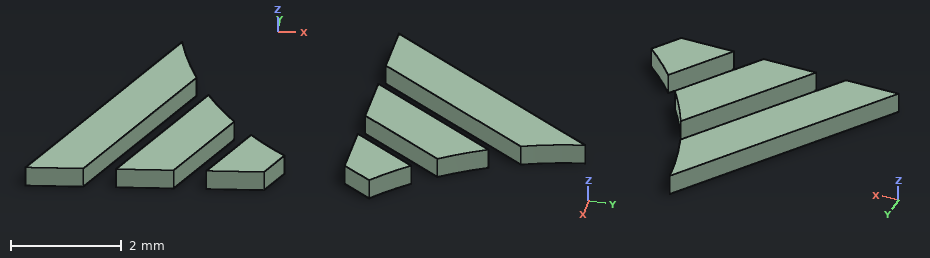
import cadquery as cq

thickness = 0.4
bar_count = 3
bar_width = 1.045
bar_pitch = 1.63
lean_run = 57.7
lean_rise = 87.6
end_arc_center = (8.64, 5.065)
end_arc_radius = 6.03

blank_height = 4.285
blank_shift = blank_height * lean_run / lean_rise

end_cutter = cq.Workplane("XY").center(*end_arc_center).circle(end_arc_radius).extrude(thickness)


def slanted_bar(start_x):
    """Leaning bar with a flat base edge, cut off by the common end arc."""
    blank = (
        cq.Workplane("XY")
        .polyline([
            (start_x, 0),
            (start_x + bar_width, 0),
            (start_x + bar_width + blank_shift, blank_height),
            (start_x + blank_shift, blank_height),
        ])
        .close()
        .extrude(thickness)
    )
    return blank.cut(end_cutter).solids()


bars = [slanted_bar(index * bar_pitch) for index in range(bar_count)]

result = cq.Compound.makeCompound([bar.val() for bar in bars])